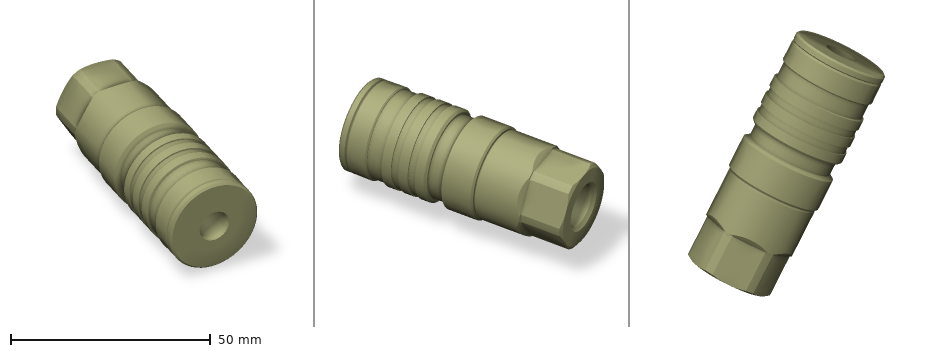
import cadquery as cq
import math

length = 63.6
outer_diameter = 25.0

hex_across_flats = 21.0
hex_corner_diameter = 22.95
hex_length = 11.7
hex_chamfer_angle = 30
flat_end = 11.5

body_radius = 11.95
body_chamfer = 0.5

sleeve_start = 25.05
sleeve_end = 33.8
sleeve_chamfer = 0.5
neck_radius = 11.2
neck_start = 34.65
neck_end = 38.35

grip_chamfer = 0.65
grip_groove_count = 2
first_grip_groove_start = 41.45
grip_groove_width = 2.1
grip_groove_pitch = 4.8
grip_groove_radius = 12.1
grip_end = first_grip_groove_start + grip_groove_count * grip_groove_pitch

waist_run_in = 0.2
waist_radius = 11.9
waist_end = 55.45
ring_chamfer = 0.4
ring_end = 61.0
lip_groove_radius = 11.95
lip_groove_width = 0.75
lip_groove_bottom = 61.5
lip_radius = 12.4
lip_chamfer = 0.5

bore_diameter = 8.3
socket_diameter = 11.4
socket_depth = 12.0
socket_mouth_diameter = 13.3

outer_radius = outer_diameter / 2
hex_apothem = hex_across_flats / 2
hex_corner_radius = hex_corner_diameter / 2
flat_count = 6


def revolve_about_x(profile):
    """Turn a closed (x, radius) outline a full circle about the X axis."""
    return cq.Workplane("XY").polyline(profile).close().revolve(360, (0, 0, 0), (1, 0, 0))


def turned_outside():
    """Solid of revolution holding every outer diameter."""
    hex_chamfer_length = (hex_corner_radius - hex_apothem) * math.tan(math.radians(hex_chamfer_angle))
    profile = [
        (0, 0),
        (0, hex_apothem),
        (hex_chamfer_length, hex_corner_radius),
        (hex_length, hex_corner_radius),
        (hex_length, body_radius),
        (sleeve_start - body_chamfer, body_radius),
        (sleeve_start, body_radius - body_chamfer),
        (sleeve_start, outer_radius - sleeve_chamfer),
        (sleeve_start + sleeve_chamfer, outer_radius),
        (sleeve_end, outer_radius),
        (neck_start, neck_radius),
        (neck_end, neck_radius),
        (neck_end, outer_radius - grip_chamfer),
        (neck_end + grip_chamfer, outer_radius),
    ]
    for i in range(grip_groove_count):
        groove_start = first_grip_groove_start + i * grip_groove_pitch
        groove_end = groove_start + grip_groove_width
        profile += [
            (groove_start, outer_radius),
            (groove_start, grip_groove_radius),
            (groove_end, grip_groove_radius),
            (groove_end, outer_radius),
        ]
    lip_start = ring_end + lip_groove_width
    profile += [
        (grip_end, outer_radius),
        (grip_end + waist_run_in, waist_radius),
        (waist_end, waist_radius),
        (waist_end, outer_radius - ring_chamfer),
        (waist_end + ring_chamfer, outer_radius),
        (ring_end, lip_radius),
        (lip_groove_bottom, lip_groove_radius),
        (lip_start, lip_radius),
        (length - lip_chamfer, lip_radius),
        (length, lip_radius - lip_chamfer),
        (length, 0),
    ]
    return revolve_about_x(profile)


def flat_cutter():
    """Block that cuts the top wrench flat and its 45 degree run-out into the body."""
    rise = outer_radius - hex_apothem
    return (
        cq.Workplane("XZ")
        .polyline([
            (0, hex_apothem),
            (flat_end, hex_apothem),
            (flat_end + rise, hex_apothem + rise),
            (0, hex_apothem + rise),
        ])
        .close()
        .extrude(outer_radius, both=True)
    )


def bore_cutter():
    """Through bore with a wider, countersunk socket at the hexagon end."""
    socket_radius = socket_diameter / 2
    mouth_radius = socket_mouth_diameter / 2
    return revolve_about_x([
        (0, 0),
        (0, mouth_radius),
        (mouth_radius - socket_radius, socket_radius),
        (socket_depth, socket_radius),
        (socket_depth, bore_diameter / 2),
        (length, bore_diameter / 2),
        (length, 0),
    ])


result = turned_outside()
for i in range(flat_count):
    result = result.cut(flat_cutter().rotate((0, 0, 0), (1, 0, 0), i * 360 / flat_count))
result = result.cut(bore_cutter())